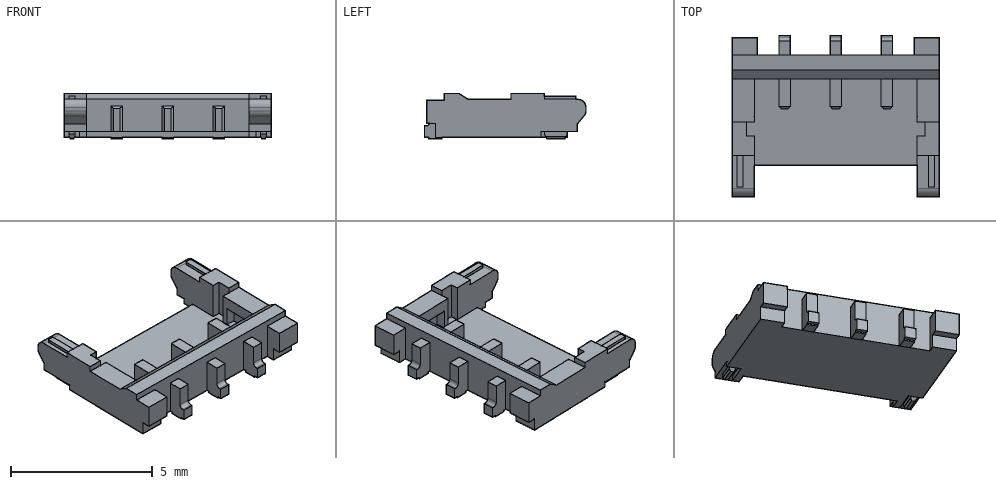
import cadquery as cq

width = 7.3
half_width = width / 2
top_z = 1.55
shoulder_z = 1.34
plate_z = 0.2
plate_front_y = 1.11

wall_back_y = 5.01
wall_front_y = 4.16
ridge_front_y = 4.48

block_width = 0.89
block_back_y = 5.62
block_top_z = 1.315
block_underside_z = 0.49
block_step_y = 5.315

arm_width = 0.78
stop_back_y = 2.65
stop_front_y = 1.47
nose_radius = 0.3
nose_flat_z = 0.935
nose_slope_top = (0.07, 0.75)
nose_slope_bottom = (0.31, 0.47)
arm_underside_back_y = 1.6

notch_depth = 0.285
notch_front_y = 2.15
recess_depth = 0.34
recess_height = 0.7
recess_front_y = stop_back_y + 0.19

foot_width = 0.25
foot_front_y = 0.665
rib_offset = 0.16
rib_width = 0.225
rib_front_y = 0.36
rib_height = 0.11
peg_chamfer_z = 0.11
peg_side_chamfer_z = 0.04
peg_end_inset = 0.08
peg_side_inset = 0.05

pin_count = 3
pin_pitch = 1.8
pin_width = 0.4
pin_top_z = 1.1
pin_front_y = 3.11
pin_chamfer = 0.09
tail_top_z = 1.23
tail_back_y = 5.505
tail_fillet = 0.14
pin_foot_back_y = 5.7
pin_foot_top_z = 0.41
pin_sole_back_y = 5.555
pin_sole_front_y = 5.09
sole_z = -0.05


def box(x_range, y_range, z_range):
    """Axis-aligned box between the given limits."""
    (x0, x1), (y0, y1), (z0, z1) = x_range, y_range, z_range
    return cq.Workplane("XY").box(x1 - x0, y1 - y0, z1 - z0, centered=False).translate((x0, y0, z0))


def extrude_along_x(profile, x_start, length):
    """Extrude a closed (Y, Z) profile from x_start towards +X."""
    return profile.extrude(length).translate((x_start, 0, 0))


def make_wall():
    """Full-width back wall with a slope down to the shoulder."""
    profile = cq.Workplane("YZ").polyline([
        (wall_front_y, 0),
        (wall_back_y, 0),
        (wall_back_y, top_z),
        (ridge_front_y, top_z),
        (wall_front_y, shoulder_z),
    ]).close()
    return extrude_along_x(profile, -half_width, width)


def make_plate():
    """Thin floor between the two arms."""
    inner_x = half_width - arm_width
    return box((-inner_x, inner_x), (plate_front_y, wall_back_y), (0, plate_z))


def make_end_block():
    """Left block behind the wall, undercut at its lower back edge."""
    profile = cq.Workplane("YZ").polyline([
        (wall_back_y, 0),
        (block_step_y, 0),
        (block_step_y, block_underside_z),
        (block_back_y, block_underside_z),
        (block_back_y, block_top_z),
        (wall_back_y, block_top_z),
    ]).close()
    return extrude_along_x(profile, -half_width, block_width)


def make_peg():
    """Tapered locating peg under the left arm."""
    x0 = -half_width + rib_offset
    x1 = x0 + rib_width
    end_taper = cq.Workplane("YZ").polyline([
        (foot_front_y, plate_z),
        (foot_front_y, peg_chamfer_z),
        (foot_front_y + peg_end_inset, sole_z),
        (stop_front_y - peg_end_inset, sole_z),
        (stop_front_y, peg_chamfer_z),
        (stop_front_y, plate_z),
    ]).close()
    side_taper = cq.Workplane("XZ").polyline([
        (x0, plate_z),
        (x0, peg_side_chamfer_z),
        (x0 + peg_side_inset, sole_z),
        (x1 - peg_side_inset, sole_z),
        (x1, peg_side_chamfer_z),
        (x1, plate_z),
    ]).close().extrude(-stop_front_y)
    return extrude_along_x(end_taper, x0, rib_width).intersect(side_taper)


def make_arm():
    """Left arm with rounded nose, raised stop, inner cuts, rib, foot and peg."""
    profile = (
        cq.Workplane("YZ")
        .moveTo(wall_front_y, 0)
        .lineTo(wall_front_y, shoulder_z)
        .lineTo(stop_back_y, shoulder_z)
        .lineTo(stop_back_y, top_z)
        .lineTo(stop_front_y, top_z)
        .lineTo(stop_front_y, shoulder_z)
        .lineTo(nose_radius, shoulder_z)
        .tangentArcPoint((0, shoulder_z - nose_radius), relative=False)
        .lineTo(0, nose_flat_z)
        .tangentArcPoint(nose_slope_top, relative=False)
        .lineTo(*nose_slope_bottom)
        .lineTo(nose_slope_bottom[0], plate_z)
        .lineTo(arm_underside_back_y, plate_z)
        .lineTo(arm_underside_back_y, 0)
        .close()
    )
    outer_x = -half_width
    inner_x = outer_x + arm_width
    rib_x = outer_x + rib_offset
    notch = box((inner_x - notch_depth, inner_x), (notch_front_y, stop_back_y), (plate_z, top_z))
    recess = box(
        (inner_x - recess_depth, inner_x),
        (recess_front_y, wall_front_y),
        (plate_z, plate_z + recess_height),
    )
    rib = box(
        (rib_x, rib_x + rib_width),
        (rib_front_y, stop_front_y),
        (shoulder_z, shoulder_z + rib_height),
    )
    foot = box((inner_x - foot_width, inner_x), (foot_front_y, arm_underside_back_y), (0, plate_z))
    arm = extrude_along_x(profile, outer_x, arm_width)
    return arm.cut(notch).cut(recess).union(rib).union(foot).union(make_peg())


def make_blade():
    """Pin blade standing on the floor, bevelled on the top and sides of its tip."""
    blade = box((-pin_width / 2, pin_width / 2), (pin_front_y, wall_back_y), (0, pin_top_z))
    tip_edges = blade.faces("<Y").edges("|Z or >Z")
    return tip_edges.chamfer(pin_chamfer)


def make_tail():
    """Upright pin tail behind the wall, filleted into its foot."""
    profile = (
        cq.Workplane("YZ")
        .moveTo(wall_back_y, 0)
        .lineTo(wall_back_y, tail_top_z)
        .lineTo(tail_back_y, tail_top_z)
        .lineTo(tail_back_y, pin_foot_top_z + tail_fillet)
        .tangentArcPoint((tail_back_y + tail_fillet, pin_foot_top_z), relative=False)
        .lineTo(pin_foot_back_y, pin_foot_top_z)
        .lineTo(pin_foot_back_y, 0)
        .lineTo(pin_sole_back_y, 0)
        .lineTo(pin_sole_back_y, sole_z)
        .lineTo(pin_sole_front_y, sole_z)
        .lineTo(pin_sole_front_y, 0)
        .close()
    )
    return extrude_along_x(profile, -pin_width / 2, pin_width)


left_end = make_arm().union(make_end_block())
housing = make_wall().union(make_plate()).union(left_end).union(left_end.mirror("YZ"))

pin = make_blade().union(make_tail())
result = housing
for index in range(pin_count):
    pin_x = (index - (pin_count - 1) / 2) * pin_pitch
    result = result.union(pin.translate((pin_x, 0, 0)))